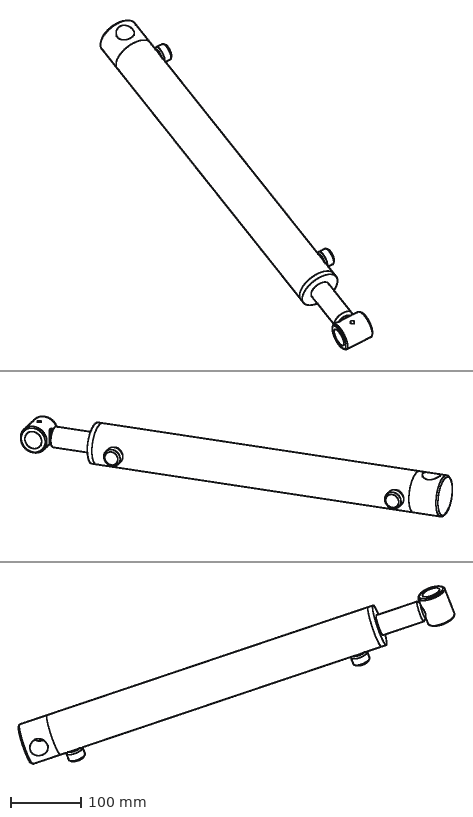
import cadquery as cq


total_length = 642.0
barrel_diameter = 60.0
barrel_radius = barrel_diameter / 2
width = 75.0

cap_length = 43.5
cap_chamfer = 2.25
pivot_bore = 26.0
cap_bore_x = 21.0

gland_start = 529.0
gland_end = 536.0

eye_diameter = 40.5
eye_radius = eye_diameter / 2
eye_length = 45.0
eye_chamfer = 2.0
eye_x = total_length - eye_radius
grease_hole_diameter = 6.0

rod_diameter = 30.0
rod_radius = rod_diameter / 2
rod_chamfer = 4.0
neck_radius = rod_radius - rod_chamfer
chamfer_end = total_length - eye_diameter
chamfer_start = chamfer_end - rod_chamfer

port_positions = (63.0, 493.0)
port_diameter = 25.0
port_chamfer = 2.5
port_top = width - barrel_radius
port_neck_diameter = port_diameter - 2 * port_chamfer
port_neck_depth = 3.0
port_neck_bottom = barrel_radius - port_neck_depth


def x_cylinder(start, end, radius):
    """Solid cylinder on the main axis from X = start to X = end."""
    return cq.Workplane("YZ").workplane(offset=start).circle(radius).extrude(end - start)


def y_cylinder(x, start, end, diameter):
    """Solid cylinder along Y through the main axis at the given X."""
    return cq.Workplane("XZ", origin=(x, start, 0)).circle(diameter / 2).extrude(start - end)


def make_cap():
    """Closed end with a chamfered rim and a vertical pivot bore."""
    cap = x_cylinder(0, cap_length, barrel_radius).faces("<X").chamfer(cap_chamfer)
    bore = (
        cq.Workplane("XY", origin=(cap_bore_x, 0, -barrel_radius))
        .circle(pivot_bore / 2)
        .extrude(barrel_diameter)
    )
    return cap.cut(bore)


def make_port(x):
    """Round boss on a narrower neck that is let into the barrel."""
    head = y_cylinder(x, barrel_radius, port_top, port_diameter).faces("<Y or >Y").chamfer(port_chamfer)
    neck = y_cylinder(x, port_neck_bottom, barrel_radius, port_neck_diameter)
    return head.union(neck)


def make_barrel():
    """Main cylinder with a round socket for the neck of each port."""
    barrel = x_cylinder(cap_length, gland_start, barrel_radius)
    for x in port_positions:
        barrel = barrel.cut(y_cylinder(x, port_neck_bottom, barrel_radius, port_neck_diameter))
    return barrel


def make_gland():
    """End ring that closes the barrel around the rod."""
    return x_cylinder(gland_start, gland_end, barrel_radius)


def make_rod():
    """Rod with a chamfered end and a short neck shaped to sit against the eye."""
    profile = [
        (gland_end, 0),
        (gland_end, rod_radius),
        (chamfer_start, rod_radius),
        (chamfer_end, neck_radius),
        (eye_x, neck_radius),
        (eye_x, 0),
    ]
    rod = cq.Workplane("XY").polyline(profile).close().revolve(360, (0, 0, 0), (1, 0, 0))
    return rod.cut(y_cylinder(eye_x, -eye_length / 2, eye_length / 2, eye_diameter))


def make_eye():
    """Cross sleeve with chamfered rims, a pivot bore and a grease hole on top."""
    half_length = eye_length / 2
    eye = y_cylinder(eye_x, -half_length, half_length, eye_diameter)
    eye = eye.faces("<Y or >Y").chamfer(eye_chamfer)
    grease_hole = cq.Workplane("XY", origin=(eye_x, 0, 0)).circle(grease_hole_diameter / 2).extrude(eye_radius)
    return eye.cut(y_cylinder(eye_x, -half_length, half_length, pivot_bore)).cut(grease_hole)


cap = make_cap()
barrel = make_barrel()
gland = make_gland()
rod = make_rod()
eye = make_eye()
ports = [make_port(x) for x in port_positions]

result = cq.Compound.makeCompound(
    [cap.val(), barrel.val(), gland.val(), rod.val(), eye.val()] + [port.val() for port in ports]
)